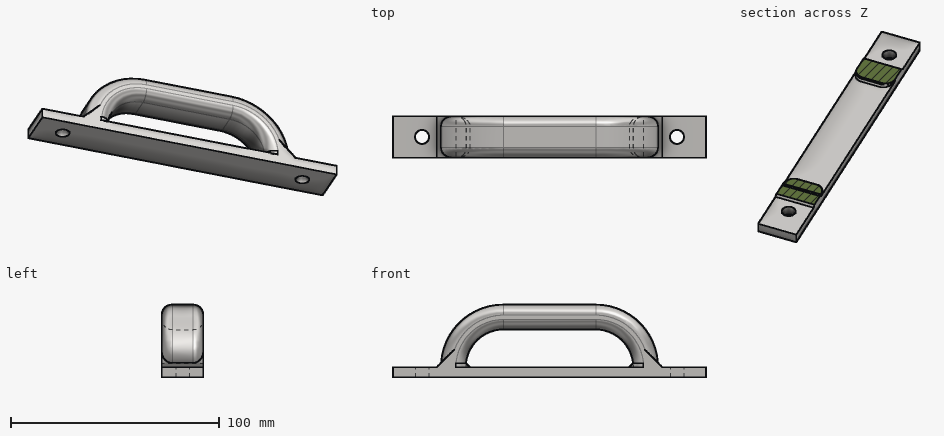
import cadquery as cq
import math

length = 150.0
width = 20.0
base_height = 5.0
hole_diameter = 6.6
hole_offset = 61.0

total_height = 35.0
grip_thickness = 12.0
bend_center = 22.0
edge_radius = 5.0
outer_radius = total_height - base_height
inner_radius = outer_radius - grip_thickness

foot_chamfer = 2.0


def make_base():
    return (
        cq.Workplane("XY")
        .box(length, width, base_height, centered=(True, True, False))
        .faces(">Z")
        .workplane()
        .pushPoints([(-hole_offset, 0), (hole_offset, 0)])
        .hole(hole_diameter)
    )


def arch(radius):
    """Solid arch standing on the base: two quarter rounds joined by a flat top."""
    diagonal = radius * math.sqrt(0.5)
    top = base_height + radius
    return (
        cq.Workplane("XZ")
        .moveTo(-bend_center - radius, base_height)
        .threePointArc((-bend_center - diagonal, base_height + diagonal), (-bend_center, top))
        .lineTo(bend_center, top)
        .threePointArc((bend_center + diagonal, base_height + diagonal),
                       (bend_center + radius, base_height))
        .close()
        .extrude(width / 2, both=True)
    )


def make_grip():
    grip = arch(outer_radius).cut(arch(inner_radius))
    long_edges = grip.faces("<Y or >Y").edges("not(<Z)")
    return long_edges.fillet(edge_radius)


def outer_gusset():
    """Full-width 45 degree wedge outside the left leg, ending on the leg's flat side."""
    reach = outer_radius + foot_chamfer
    flat_radius = outer_radius - edge_radius
    rise = (reach - math.sqrt(2 * flat_radius**2 - reach**2)) / 2
    toe = -bend_center - reach
    return (
        cq.Workplane("XZ", origin=(0, 0, base_height))
        .moveTo(toe, 0)
        .lineTo(toe + rise, rise)
        .lineTo(toe + rise, 0)
        .close()
        .extrude(width / 2, both=True)
    )


def leg_outline(workplane, reach):
    """Inner half of the left leg's section, its rounded corners stretched to reach along X."""
    back = -bend_center - inner_radius - edge_radius
    flat_half = width / 2 - edge_radius
    front = back + reach
    return (
        workplane.moveTo(back, -width / 2)
        .ellipseArc(reach, edge_radius, 270, 360)
        .lineTo(front, flat_half)
        .ellipseArc(reach, edge_radius, 0, 90)
        .close()
    )


def inner_chamfer():
    """Sloped foot inside the left leg, fading out around the rounded corners."""
    foot = leg_outline(cq.Workplane("XY", origin=(0, 0, base_height)), edge_radius + foot_chamfer)
    return leg_outline(foot.workplane(offset=foot_chamfer), edge_radius).loft(ruled=True)


result = make_base().union(make_grip())
for reinforcement in (outer_gusset(), inner_chamfer()):
    result = result.union(reinforcement).union(reinforcement.mirror("YZ"))